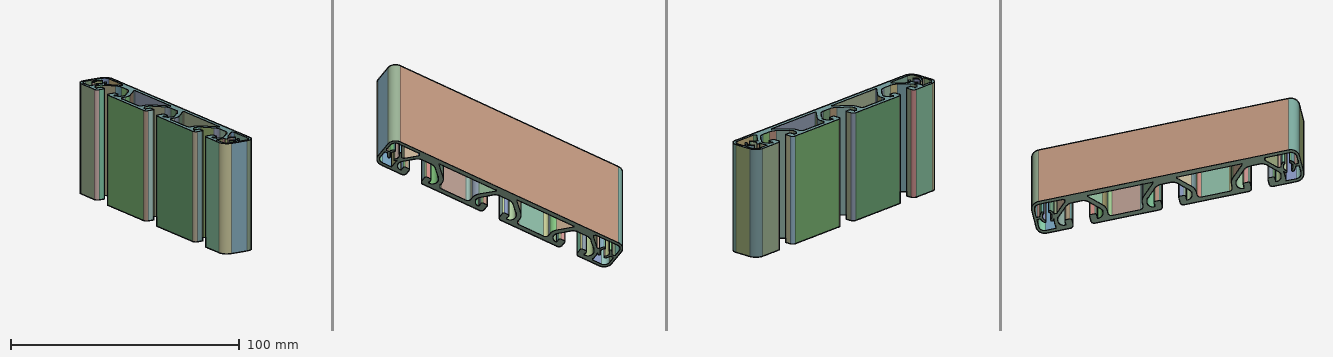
import cadquery as cq
import math

width = 120.0
depth = 16.0
length = 50.0
outer_radius = 4.0

slot_pitch = 40.0
throat_half = 4.0
throat_mouth_radius = 1.5
lip_height = 4.5
lip_width = 3.1
lip_radius = 0.6
slot_half = 10.1
slot_radius = 2.6
roof_half = 4.0
roof_thickness = 4.0
roof_radius = 4.2

web = 2.0
chamber_tip_radius = 0.2
chamber_foot_radius = 1.5

side_wall = 1.2
end_wall = 1.5
end_web = 1.5
end_inner_radius = outer_radius - end_wall
end_tip_radius = 0.8

port_from_side = 6.0
port_radius = 2.6
port_thickness = 1.1
port_half_angle = 53.0
stem_fillet = 0.5

overshoot = 1.2

roof_y = depth - roof_thickness
port_y = depth / 2
port_x = width / 2 - port_from_side
slot_centres = [-slot_pitch, 0.0, slot_pitch]


def rounded_prism(corners):
    """Extrude a closed polygon of (x, y, radius) corners, each rounded by a tangent arc."""
    path = None
    for i, (x, y, radius) in enumerate(corners):
        before = cq.Vector(*corners[i - 1][:2])
        after = cq.Vector(*corners[(i + 1) % len(corners)][:2])
        corner = cq.Vector(x, y)
        to_before = (before - corner).normalized()
        to_after = (after - corner).normalized()
        half_angle = to_before.getAngle(to_after) / 2
        setback = radius / math.tan(half_angle)
        start = corner + to_before * setback
        path = path.lineTo(start.x, start.y) if path else cq.Workplane("XY").moveTo(start.x, start.y)
        if radius > 0:
            bisector = (to_before + to_after).normalized()
            middle = corner + bisector * (radius / math.sin(half_angle) - radius)
            end = corner + to_after * setback
            path = path.threePointArc((middle.x, middle.y), (end.x, end.y))
    return path.close().extrude(length)


def mirrored(right_side):
    """Complete a half outline with its mirror image about x = 0."""
    return right_side + [(-x, y, radius) for x, y, radius in reversed(right_side)]


def web_outline(thickness, ceiling_y, tip_radius):
    """Chamber-side corners of the slot web, offset from the slot wall: ceiling tip, then bend."""
    bend_x = slot_half + thickness
    slope_sum = roof_half + roof_y + thickness * math.sqrt(2)
    tip = (slope_sum - ceiling_y, ceiling_y, tip_radius)
    bend = (bend_x, slope_sum - bend_x, slot_radius + thickness)
    return tip, bend


def slot_void():
    """T-slot centred on x = 0, open through the front face."""
    lip_back = throat_half + lip_width
    return rounded_prism(mirrored([
        (lip_back, -overshoot, 0),
        (lip_back, 0, 0),
        (throat_half, 0, throat_mouth_radius),
        (throat_half, lip_height, lip_radius),
        (lip_back, lip_height, lip_radius),
        (lip_back, web, 0),
        (slot_half, web, slot_radius),
        (slot_half, roof_half + roof_y - slot_half, slot_radius),
        (roof_half, roof_y, roof_radius),
    ]))


def middle_chamber():
    """Chamber centred on x = 0, midway between two slots."""
    to_slot = slot_pitch / 2
    tip, bend = web_outline(web, depth - web, chamber_tip_radius)
    right_side = [(to_slot - x, y, radius) for x, y, radius in (tip, bend)]
    right_side.append((to_slot - bend[0], web, chamber_foot_radius))
    return rounded_prism(mirrored(right_side))


def end_chamber():
    """Chamber at the +X end."""
    outer_x = width / 2 - side_wall
    back_y = depth - end_wall
    tip, bend = web_outline(end_web, back_y, end_tip_radius)
    corners = [(slot_pitch + x, y, radius) for x, y, radius in (tip, bend)]
    return rounded_prism(corners + [
        (slot_pitch + bend[0], end_wall, 0),
        (outer_x, end_wall, end_inner_radius),
        (outer_x, back_y, end_inner_radius),
    ])


def port_arc(direction):
    """Round-ended arc of the +X screw port, bulging towards +X (1) or -X (-1)."""
    inner = port_radius - port_thickness / 2
    outer = port_radius + port_thickness / 2
    angle = math.radians(port_half_angle)

    def point(radius, turn):
        return (port_x + direction * radius * math.cos(turn), port_y + radius * math.sin(turn))

    end_reach = port_thickness / 2 / port_radius
    return (
        cq.Workplane("XY")
        .moveTo(*point(outer, -angle))
        .threePointArc(point(outer, 0), point(outer, angle))
        .threePointArc(point(port_radius, angle + end_reach), point(inner, angle))
        .threePointArc(point(inner, 0), point(inner, -angle))
        .threePointArc(point(port_radius, -angle - end_reach), point(outer, -angle))
        .close()
        .extrude(length)
    )


def wall_stem():
    """Flat stem from the +X side wall to the outer port arc."""
    start_x = port_x + port_radius
    end_x = width / 2 - side_wall / 2
    return (
        cq.Workplane("XY")
        .center((start_x + end_x) / 2, port_y)
        .rect(end_x - start_x, port_thickness)
        .extrude(length)
    )


def web_gusset():
    """Solid filling from the slot web to the lower half of the inner port arc."""
    angle = math.radians(port_half_angle)
    top_y = port_y + port_thickness / 2
    bottom_y = port_y - port_radius * math.sin(angle)
    web_top_x = slot_pitch + roof_half + roof_y + end_web / math.sqrt(2) - top_y
    web_bottom_x = slot_pitch + slot_half + end_web / 2
    return (
        cq.Workplane("XY")
        .polyline([
            (web_top_x, top_y),
            (port_x - port_radius, top_y),
            (port_x - port_radius * math.cos(angle), bottom_y),
            (web_bottom_x, bottom_y),
        ])
        .close()
        .extrude(length)
    )


def screw_port():
    """Both port arcs at the +X end, tied to the side wall and to the slot web."""
    return port_arc(1).union(port_arc(-1)).union(wall_stem()).union(web_gusset())


body = (
    cq.Workplane("XY")
    .center(0, depth / 2)
    .rect(width, depth)
    .extrude(length)
    .edges("|Z")
    .fillet(outer_radius)
)

for x in slot_centres:
    body = body.cut(slot_void().translate((x, 0, 0)))

for x in (-slot_pitch / 2, slot_pitch / 2):
    body = body.cut(middle_chamber().translate((x, 0, 0)))

end_void = end_chamber()
port = screw_port()
body = body.cut(end_void).cut(end_void.mirror("YZ"))
body = body.union(port).union(port.mirror("YZ"))

for side in (-1, 1):
    stem_start = (side * (port_x + port_radius), port_y - port_thickness, -overshoot)
    stem_end = (side * width / 2, port_y + port_thickness, length + overshoot)
    body = body.edges("|Z").edges(cq.selectors.BoxSelector(stem_start, stem_end)).fillet(stem_fillet)

result = body